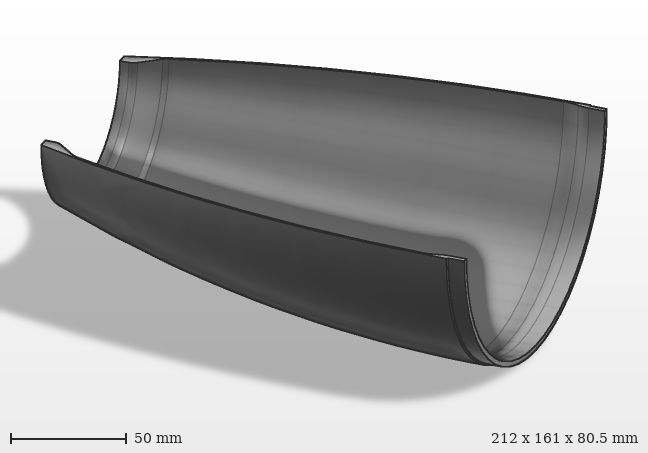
import cadquery as cq
import math

length = 211.96
rear_rim_length = 7.6
rear_step_length = 0.6
max_radius = 80.52
front_radius = 46.6
wall = 1.2

front_bore_radius = 41.6
front_bore_length = 6.1
front_cone_angle = math.radians(39.8)
bore_blend_radius = 5.5
shell_blend_radius = 7.0

rear_rim_radius = 79.8
rear_bore_radius = 77.4
blend_start = 191.8
blend_middle = 199.1

rim_start = length - rear_rim_length
shell_end = rim_start - rear_step_length
rise = max_radius - front_radius
outer_arc_radius = (shell_end**2 + rise**2) / (2 * rise)
arc_center_radius = max_radius - outer_arc_radius
inner_arc_radius = outer_arc_radius - wall


def arc_height(x, arc_radius):
    """Distance from the X axis to a shell arc at position x."""
    return arc_center_radius + math.sqrt(arc_radius**2 - (shell_end - x) ** 2)


def cone_meets_inner_arc():
    """Point where the front cone runs into the inner shell arc."""
    cos_a = math.cos(front_cone_angle)
    sin_a = math.sin(front_cone_angle)
    from_center_x = front_bore_length - shell_end
    from_center_r = front_bore_radius - arc_center_radius
    along = from_center_x * cos_a + from_center_r * sin_a
    offset = from_center_x**2 + from_center_r**2 - inner_arc_radius**2
    distance = math.sqrt(along**2 - offset) - along
    return front_bore_length + distance * cos_a, front_bore_radius + distance * sin_a


def half_shell():
    """Revolve the wall section half a turn, below the XY plane."""
    cone_end = cone_meets_inner_arc()
    blend_top = arc_height(blend_start, inner_arc_radius)
    middle_share = (blend_middle - blend_start) / (rim_start - blend_start)
    blend_middle_radius = blend_top + middle_share * (rear_bore_radius - blend_top)
    outer_mid = shell_end / 2
    inner_mid = (cone_end[0] + blend_start) / 2
    section = (
        cq.Workplane("XY")
        .moveTo(0, front_bore_radius)
        .lineTo(front_bore_length, front_bore_radius)
        .lineTo(*cone_end)
        .threePointArc((inner_mid, arc_height(inner_mid, inner_arc_radius)), (blend_start, blend_top))
        .tangentArcPoint((blend_middle, blend_middle_radius), relative=False)
        .tangentArcPoint((rim_start, rear_bore_radius), relative=False)
        .lineTo(length, rear_bore_radius)
        .lineTo(length, rear_rim_radius)
        .lineTo(rim_start, rear_rim_radius)
        .lineTo(shell_end, max_radius)
        .threePointArc((outer_mid, arc_height(outer_mid, outer_arc_radius)), (0, front_radius))
        .close()
    )
    return section.revolve(180, (0, 0, 0), (-1, 0, 0))


def blend_front_rim(shell):
    """Round both ends of the front cone."""
    blended = shell.faces("%CONE").faces("<X").edges("%CIRCLE and <X").fillet(bore_blend_radius)
    return blended.faces("%CONE").faces("<X").edges("%CIRCLE and >X").fillet(shell_blend_radius)


result = blend_front_rim(half_shell())